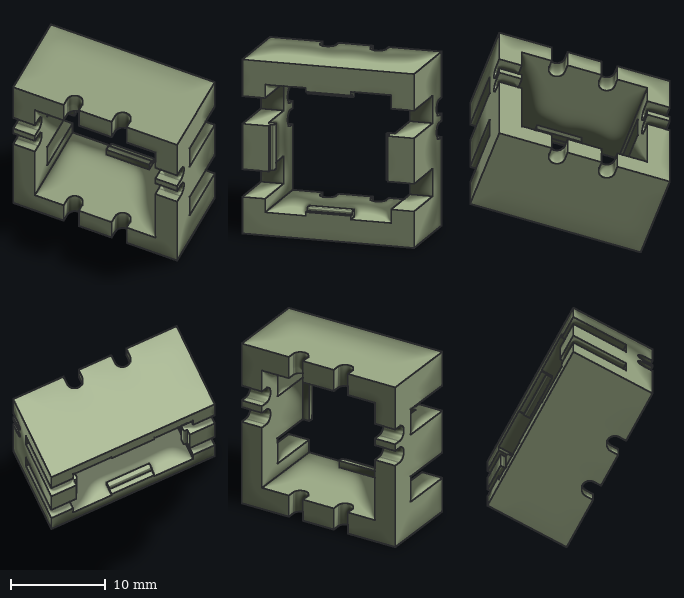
import cadquery as cq

side = 19.05
depth = 9.52
wall = 2.53
opening = side - 2 * wall
front_y = -depth / 2
back_y = depth / 2

tab_width = 5.0
tab_height = 0.8
tab_depth = 0.7
tab_setback = 0.6
tip_back_y = back_y - tab_setback
tip_radius = 0.2
step_height = 0.4

slot_width = 3.01
slot_depth = 6.36
slot_offset = (tab_width + slot_width) / 2

notch_width = 1.75
notch_radius = notch_width / 2
notch_depth = 1.75
notch_x_positions = (-2.78, 2.78)
notch_z_positions = (1.07, 3.62)


def make_frame():
    outer = cq.Workplane("XY").box(side, depth, side)
    return outer.cut(cq.Workplane("XY").box(opening, depth, opening))


def make_tab(angle):
    """Stepped tab with a rounded back tip, turned about Y onto one of the walls."""
    wall_z = opening / 2
    tip = cq.Workplane("XY").box(tab_width, tab_depth, tab_height)
    tip = tip.translate((0, tip_back_y - tab_depth / 2, wall_z - tab_height / 2))
    tip = tip.edges("|X and >Y and <Z").fillet(tip_radius)
    step_depth = back_y - tip_back_y + tab_depth
    step = cq.Workplane("XY").box(tab_width, step_depth, step_height)
    step = step.translate((0, back_y - step_depth / 2, wall_z - step_height / 2))
    return tip.union(step).rotate((0, 0, 0), (0, 1, 0), angle)


def make_side_slot(z):
    slot = cq.Workplane("XY").box(side, slot_depth, slot_width)
    return slot.translate((0, back_y - slot_depth / 2, z))


def make_notch(x):
    """Notch running the full height along Z, rounded at its inner end."""
    round_center_y = front_y + notch_depth - notch_radius
    return (
        cq.Workplane("XY")
        .moveTo(x - notch_radius, front_y)
        .lineTo(x - notch_radius, round_center_y)
        .threePointArc((x, front_y + notch_depth), (x + notch_radius, round_center_y))
        .lineTo(x + notch_radius, front_y)
        .close()
        .extrude(side / 2, both=True)
    )


result = make_frame()

for angle in (0, 90, 180, 270):
    result = result.union(make_tab(angle))

for z in (-slot_offset, slot_offset):
    result = result.cut(make_side_slot(z))

for x in notch_x_positions:
    result = result.cut(make_notch(x))

for z in notch_z_positions:
    result = result.cut(make_notch(-z).rotate((0, 0, 0), (0, 1, 0), 90))